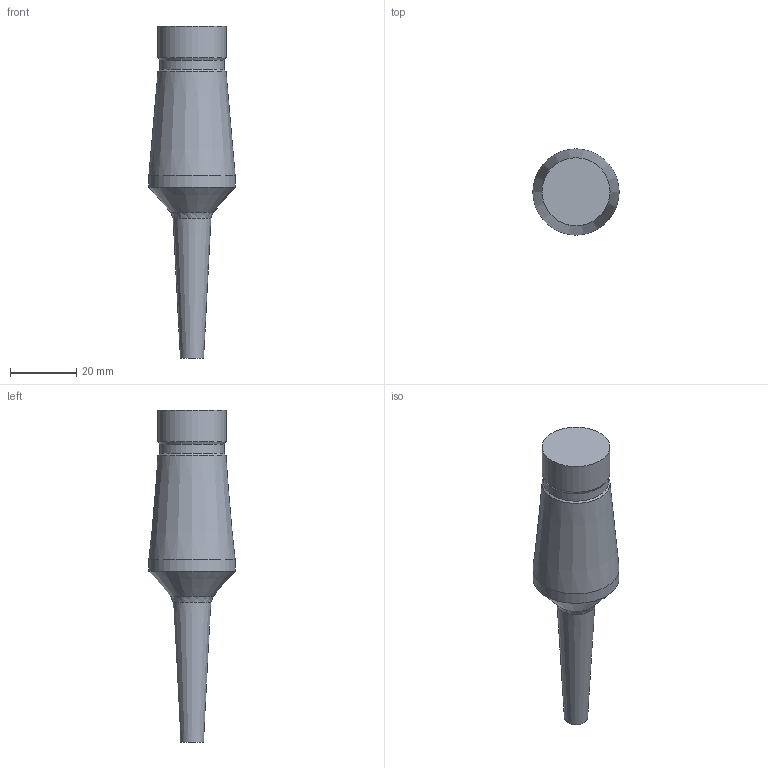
import cadquery as cq
import math

total_height = 100.0
head_radius = 10.25
head_height = 9.5
neck_radius = 9.75
groove_width = 4.1
groove_upper_slope = 0.85
groove_lower_slope = 0.5
band_radius = 13.0
band_height = 3.5
body_taper = 5.0
flare_angle = 41.0
stem_taper = 3.0
tip_radius = 3.5
root_fillet = 3.0


def slope(degrees):
    """Radius gained per unit of height along a cone."""
    return math.tan(math.radians(degrees))


head_bottom = total_height - head_height
body_top = head_bottom - groove_width
body_length = (band_radius - head_radius) / slope(body_taper)
band_top = body_top - body_length
band_bottom = band_top - band_height

root_height = (tip_radius - band_radius + band_bottom * slope(flare_angle)) / (
    slope(flare_angle) - slope(stem_taper)
)
root_radius = tip_radius + root_height * slope(stem_taper)


def turned_body():
    """Revolve the half profile, given as (radius, height), about Z."""
    profile = [
        (0, 0),
        (tip_radius, 0),
        (root_radius, root_height),
        (band_radius, band_bottom),
        (band_radius, band_top),
        (head_radius, body_top),
        (neck_radius, body_top + groove_lower_slope),
        (neck_radius, head_bottom - groove_upper_slope),
        (head_radius, head_bottom),
        (head_radius, total_height),
        (0, total_height),
    ]
    return cq.Workplane("XZ").polyline(profile).close().revolve(360, (0, 0), (0, 1))


def round_root(body):
    """Fillet the inside corner between the flare and the stem."""
    root_edge = cq.selectors.NearestToPointSelector((0, 0, root_height))
    return body.edges("%CIRCLE").edges(root_edge).fillet(root_fillet)


result = round_root(turned_body())